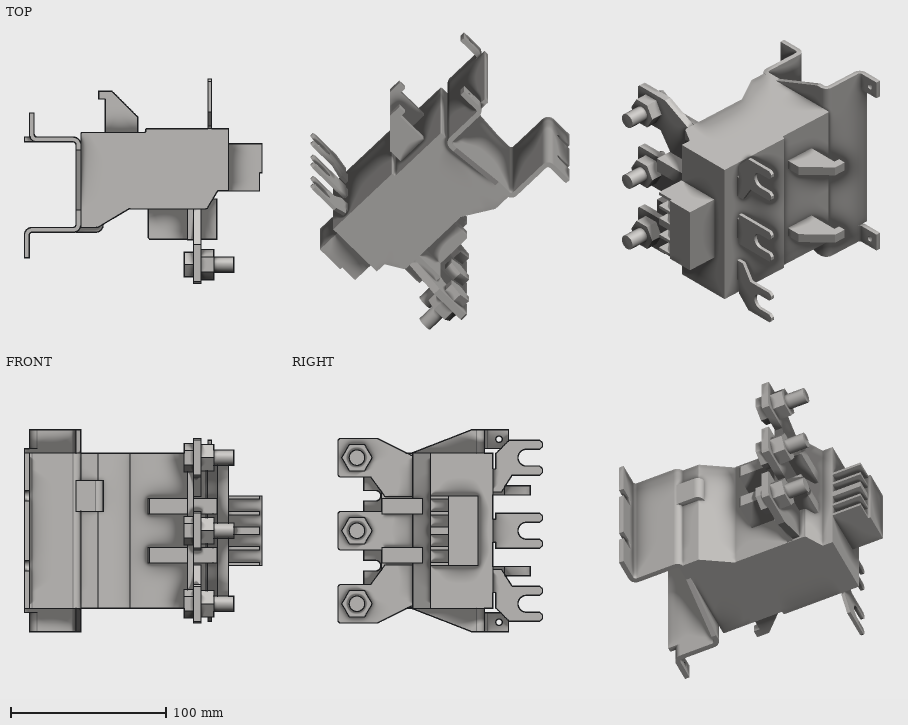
import cadquery as cq
import math


TOTAL_LENGTH = 153.2
TOTAL_DEPTH = 131.8

SHEET = 3.2
BEND_IN = 1.8
BEND_OUT = BEND_IN + SHEET
LEG_LENGTH = 36.5
BACK_LEG_Y = 58.2
FLANGE_END_Y = -19.6
BRACKET_HEIGHT = 130.0
WEB_TAPER_START_Y = 11.3
WEB_TAPER_END_Y = 50.0
FLANGE_SLOT_WIDTH = 6.7
FLANGE_SLOT_DEPTH = 11.0
FLANGE_SLOT_Z = 22.5
EAR_HEIGHT = 12.3
EAR_OFFSET = 3.2
EAR_END_Y = 73.7
EAR_HOLE_DIAMETER = 4.0
TAB_LENGTH = 14.4
TAB_BOTTOM = 12.4
TAB_TOP = 32.5

HOUSING_HEIGHT = 100.0
HOUSING_LENGTH = 95.1
HOUSING_FRONT_Y = 12.3
FRONT_PAD_THICKNESS = 0.5
FRONT_PAD_RIGHT_X = 80.5
HOUSING_BACK_Y = 61.1
HOUSING_RAISED_Y = 63.6
FRONT_SLOPE_START_X = 11.0
FRONT_SLOPE_END_X = 31.5
REAR_SLOPE_START_X = 81.3
REAR_SLOPE_END_X = 88.1
REAR_STEP_Y = 23.6
BACK_STEP_X = 41.7
EDGE_RADIUS = 0.9

LATCH_LEFT_X = 15.6
LATCH_RIGHT_X = 36.6
LATCH_LIP_X = 11.5
LATCH_LIP_HEIGHT = 5.2
LATCH_TIP_X = 19.9
LATCH_TIP_Y = 87.8
LATCH_THICKNESS = 6.1
LATCH_Z = 26.0

SOCKET_END_X = TOTAL_LENGTH - LEG_LENGTH
SOCKET_STEP = 1.7
SOCKET_FRONT_Y = 23.3
SOCKET_BACK_Y = 54.0
SOCKET_STEP_Y = 35.1
SOCKET_HEIGHT = 44.9
SOCKET_RIB = 2.1
SOCKET_INNER_RIB_Z = 11.2
SOCKET_MIDDLE_RIB = 4.9

BARRIER_X = 68.5
BARRIER_THICKNESS = 4.0
BARRIER_INSET = 0.5
BARRIER_FRONT_Y = -8.0
BAR_LEFT_X = 43.2
BAR_RIGHT_X = 87.5
BAR_FRONT_Y = -7.7
BAR_BACK_Y = 18.4
BAR_HEIGHT = 10.0
BAR_Z = 15.8
BAR_CHAMFER = 1.0

POLE_PITCH = 47.0
LUG_X = BARRIER_X + BARRIER_THICKNESS
LUG_THICKNESS = 4.9
LUG_WIDTH = 25.0
LUG_END_Y = -36.2
LUG_CHAMFER = 1.2
LUG_OUTER_BEND_Y = -10.9
LUG_OUTER_ROOT_Z = 48.0
LUG_INNER_BEND_Y = -15.0
LUG_NECK_Y = -5.8
LUG_INNER_ROOT_Z = 21.9

FORK_X = 81.8
FORK_THICKNESS = 2.3
FORK_WIDTH = 22.7
FORK_END_Y = TOTAL_DEPTH + LUG_END_Y
FORK_SHOULDER_GAP = 1.8
FORK_SHOULDER_Y = HOUSING_RAISED_Y + FORK_SHOULDER_GAP
FORK_SHOULDER_DROP = 8.7
FORK_NECK_WIDTH = 15.0
FORK_OUTER_NECK_Z = 32.3
FORK_INNER_NECK_Y = 69.1
FORK_INNER_BEND_Y = 76.0
FORK_SLOT_WIDTH = 10.7
FORK_SLOT_DEPTH = 15.8
FORK_TIP_CHAMFER = 1.8

BOLT_DIAMETER = 10.0
BOLT_FROM_LUG_END = 12.3
BOLT_END_X = 98.5
BOLT_HEAD_HEIGHT = 6.0
BOLT_HEAD_FLATS = 16.0
NUT_HEIGHT = 8.3
NUT_FLATS = 17.0
HEX_CORNERS_PER_FLATS = 2 / math.sqrt(3)

BOLT_Y = LUG_END_Y + BOLT_FROM_LUG_END
POLES = (-1, 0, 1)
HALF_BRACKET = BRACKET_HEIGHT / 2
HALF_HOUSING = HOUSING_HEIGHT / 2
HALF_BARRIER = HALF_HOUSING - BARRIER_INSET


def box(x0, x1, y0, y1, z0, z1):
    """Box between two opposite corners."""
    return cq.Workplane("XY").box(x1 - x0, y1 - y0, z1 - z0, centered=False).translate((x0, y0, z0))


def sheet_corner(x, y, sign_x, sign_y, z0, z1):
    """Quarter-ring bend whose outer corner is at (x, y); signs point to the bend's inner side."""
    center = (x + sign_x * BEND_OUT, y + sign_y * BEND_OUT)
    ring = cq.Workplane("XY").center(*center).circle(BEND_OUT).circle(BEND_IN).extrude(z1 - z0)
    xs = sorted((x, center[0]))
    ys = sorted((y, center[1]))
    return ring.translate((0, 0, z0)).intersect(box(*xs, *ys, z0, z1))


def plate_on_yz(points, x, thickness):
    """Flat plate with a (Y, Z) outline, starting at the given X."""
    return cq.Workplane("YZ").polyline(points).close().extrude(thickness).translate((x, 0, 0))


def round_slot(x, thickness, y_mouth, y_bottom, z, width):
    """Cutter for a slot through a YZ plate, open at its mouth and fully rounded at its bottom."""
    half = width / 2
    y_center = y_bottom + half if y_mouth > y_bottom else y_bottom - half
    ys = sorted((y_mouth, y_center))
    round_end = cq.Workplane("YZ").center(y_center, z).circle(half).extrude(thickness)
    return box(x, x + thickness, *ys, z - half, z + half).union(round_end.translate((x, 0, 0)))


def make_housing_body():
    r = EDGE_RADIUS
    outline = (
        cq.Workplane("XY")
        .moveTo(0, 0)
        .lineTo(FRONT_SLOPE_START_X, 0)
        .lineTo(FRONT_SLOPE_END_X, HOUSING_FRONT_Y)
        .lineTo(REAR_SLOPE_START_X, HOUSING_FRONT_Y)
        .lineTo(REAR_SLOPE_END_X, REAR_STEP_Y)
        .lineTo(HOUSING_LENGTH, REAR_STEP_Y)
        .lineTo(HOUSING_LENGTH, HOUSING_RAISED_Y)
        .lineTo(BACK_STEP_X + r, HOUSING_RAISED_Y)
        .radiusArc((BACK_STEP_X, HOUSING_RAISED_Y - r), -r)
        .lineTo(BACK_STEP_X, HOUSING_BACK_Y + r)
        .radiusArc((BACK_STEP_X - r, HOUSING_BACK_Y), r)
        .lineTo(r, HOUSING_BACK_Y)
        .radiusArc((0, HOUSING_BACK_Y - r), -r)
        .close()
    )
    return outline.extrude(HALF_HOUSING, both=True)


def make_latch(z):
    slope = LATCH_RIGHT_X - LATCH_TIP_X
    points = [
        (LATCH_LEFT_X, HOUSING_BACK_Y),
        (LATCH_RIGHT_X, HOUSING_BACK_Y),
        (LATCH_RIGHT_X, LATCH_TIP_Y - slope),
        (LATCH_TIP_X, LATCH_TIP_Y),
        (LATCH_LIP_X, LATCH_TIP_Y),
        (LATCH_LIP_X, LATCH_TIP_Y - LATCH_LIP_HEIGHT),
        (LATCH_LEFT_X, LATCH_TIP_Y - LATCH_LIP_HEIGHT),
    ]
    latch = cq.Workplane("XY").polyline(points).close().extrude(LATCH_THICKNESS / 2, both=True)
    return latch.translate((0, 0, z))


def make_socket():
    half = SOCKET_HEIGHT / 2
    socket = box(HOUSING_LENGTH, SOCKET_END_X, SOCKET_STEP_Y, SOCKET_BACK_Y, -half, half)
    outer_rib_z = half - SOCKET_RIB / 2
    ribs = [(0, SOCKET_MIDDLE_RIB)]
    for side in (-1, 1):
        ribs.append((side * SOCKET_INNER_RIB_Z, SOCKET_RIB))
        ribs.append((side * outer_rib_z, SOCKET_RIB))
    rib_end = SOCKET_END_X - SOCKET_STEP
    for z, height in ribs:
        rib = box(HOUSING_LENGTH, rib_end, SOCKET_FRONT_Y, SOCKET_STEP_Y, z - height / 2, z + height / 2)
        socket = socket.union(rib)
    return socket


def make_front_pad():
    """Thin raised pad covering the flat front face of the housing."""
    pad_y = HOUSING_FRONT_Y - FRONT_PAD_THICKNESS
    return box(FRONT_SLOPE_END_X, FRONT_PAD_RIGHT_X, pad_y, HOUSING_FRONT_Y, -HALF_HOUSING, HALF_HOUSING)


def make_barrier():
    return box(BARRIER_X, LUG_X, BARRIER_FRONT_Y, HOUSING_FRONT_Y, -HALF_BARRIER, HALF_BARRIER)


def make_bar(z):
    half = BAR_HEIGHT / 2
    bar = box(BAR_LEFT_X, BAR_RIGHT_X, BAR_FRONT_Y, BAR_BACK_Y, z - half, z + half)
    return bar.edges("|Z and <X and <Y").chamfer(BAR_CHAMFER)


def make_lug(pole):
    """Front lug; the outer ones are cranked away from the middle, the lower one mirrors the upper."""
    half = LUG_WIDTH / 2
    z = abs(pole) * POLE_PITCH
    if pole == 0:
        root = [(HOUSING_FRONT_Y, half), (HOUSING_FRONT_Y, -half)]
    else:
        root = [
            (LUG_OUTER_BEND_Y, z + half),
            (HOUSING_FRONT_Y, LUG_OUTER_ROOT_Z),
            (HOUSING_FRONT_Y, LUG_INNER_ROOT_Z),
            (LUG_NECK_Y, LUG_INNER_ROOT_Z),
            (LUG_INNER_BEND_Y, z - half),
        ]
    points = [(LUG_END_Y, z - half), (LUG_END_Y, z + half)] + root
    lug = plate_on_yz(points, LUG_X, LUG_THICKNESS).edges("|X and <Y").chamfer(LUG_CHAMFER)
    return lug.mirror("XY") if pole < 0 else lug


def make_fork(pole):
    """Back fork terminal; the outer ones are cranked like the lugs."""
    half = FORK_WIDTH / 2
    half_neck = FORK_NECK_WIDTH / 2
    z = abs(pole) * POLE_PITCH
    neck_z = abs(pole) * FORK_OUTER_NECK_Z
    neck_root = [
        (FORK_SHOULDER_Y, neck_z + half_neck),
        (HOUSING_RAISED_Y, neck_z + half_neck),
        (HOUSING_RAISED_Y, neck_z - half_neck),
    ]
    if pole == 0:
        outer = [(FORK_SHOULDER_Y, half)]
        inner = [(FORK_SHOULDER_Y, -half_neck), (FORK_SHOULDER_Y, -half)]
    else:
        outer = [
            (FORK_SHOULDER_Y + FORK_SHOULDER_DROP, z + half),
            (FORK_SHOULDER_Y, z + half - FORK_SHOULDER_DROP),
        ]
        inner = [(FORK_INNER_NECK_Y, neck_z - half_neck), (FORK_INNER_BEND_Y, z - half)]
    points = [(FORK_END_Y, z - half), (FORK_END_Y, z + half)] + outer + neck_root + inner
    fork = plate_on_yz(points, FORK_X, FORK_THICKNESS)
    slot_bottom = FORK_END_Y - FORK_SLOT_DEPTH
    fork = fork.cut(round_slot(FORK_X, FORK_THICKNESS, FORK_END_Y, slot_bottom, z, FORK_SLOT_WIDTH))
    fork = fork.edges("|X and >Y").chamfer(FORK_TIP_CHAMFER)
    return fork.mirror("XY") if pole < 0 else fork


def x_cylinder(x0, x1, z):
    """Cylinder of the bolt's diameter on a bolt axis."""
    circle = cq.Workplane("YZ").center(BOLT_Y, z).circle(BOLT_DIAMETER / 2)
    return circle.extrude(x1 - x0).translate((x0, 0, 0))


def make_housing():
    housing = make_housing_body().union(make_front_pad()).union(make_socket()).union(make_barrier())
    for side in (-1, 1):
        housing = housing.union(make_latch(side * LATCH_Z)).union(make_bar(side * BAR_Z))
    for pole in POLES:
        bolt_hole = x_cylinder(LUG_X, LUG_X + LUG_THICKNESS, pole * POLE_PITCH)
        housing = housing.union(make_lug(pole).cut(bolt_hole)).union(make_fork(pole))
    return housing


def hexagon(x0, height, flats, turn, z):
    """Hexagonal prism on a bolt axis; a turn of 0 puts corners on the Y axis, 90 on the Z axis."""
    prism = cq.Workplane("YZ").polygon(6, flats * HEX_CORNERS_PER_FLATS).extrude(height)
    return prism.rotate((0, 0, 0), (1, 0, 0), turn).translate((x0, BOLT_Y, z))


def make_bolt(z):
    head = hexagon(LUG_X - BOLT_HEAD_HEIGHT, BOLT_HEAD_HEIGHT, BOLT_HEAD_FLATS, 90, z)
    return head.union(x_cylinder(LUG_X, BOLT_END_X, z))


def make_nut(z):
    start = LUG_X + LUG_THICKNESS
    return hexagon(start, NUT_HEIGHT, NUT_FLATS, 0, z).cut(x_cylinder(start, start + NUT_HEIGHT, z))


def make_web_and_legs():
    """Channel of web and two legs, its web tapering from full height to the housing's height."""
    front = -SHEET
    low, high = -HALF_BRACKET, HALF_BRACKET
    web = box(-SHEET, 0, front + BEND_OUT, BACK_LEG_Y - BEND_OUT, low, high)
    back_leg = box(EAR_OFFSET - LEG_LENGTH + BEND_OUT, -BEND_OUT, BACK_LEG_Y - SHEET, BACK_LEG_Y, low, high)
    front_leg = box(BEND_OUT - LEG_LENGTH, -BEND_OUT, front, 0, low, high)
    flange = box(-LEG_LENGTH, SHEET - LEG_LENGTH, FLANGE_END_Y, -BEND_OUT, low, high)
    channel = web.union(back_leg).union(front_leg).union(flange)
    channel = channel.union(sheet_corner(0, front, -1, 1, low, high))
    channel = channel.union(sheet_corner(0, BACK_LEG_Y, -1, -1, low, high))
    channel = channel.union(sheet_corner(-LEG_LENGTH, 0, 1, -1, low, high))
    envelope = [
        (BACK_LEG_Y, high),
        (WEB_TAPER_END_Y, high),
        (WEB_TAPER_START_Y, HALF_HOUSING),
        (FLANGE_END_Y, HALF_HOUSING),
        (FLANGE_END_Y, -HALF_HOUSING),
        (WEB_TAPER_START_Y, -HALF_HOUSING),
        (WEB_TAPER_END_Y, low),
        (BACK_LEG_Y, low),
    ]
    return channel.intersect(plate_on_yz(envelope, -LEG_LENGTH, LEG_LENGTH))


def make_ear():
    """Upper ear: bent back from the back leg, with a centred mounting hole near its end."""
    low, high = HALF_BRACKET - EAR_HEIGHT, HALF_BRACKET
    x = EAR_OFFSET - LEG_LENGTH
    y = BACK_LEG_Y - SHEET
    ear = box(x, x + SHEET, y + BEND_OUT, EAR_END_Y, low, high).union(sheet_corner(x, y, 1, 1, low, high))
    hole = cq.Workplane("YZ").center(EAR_END_Y - EAR_HEIGHT / 2, high - EAR_HEIGHT / 2)
    return ear.cut(hole.circle(EAR_HOLE_DIAMETER / 2).extrude(SHEET).translate((x, 0, 0)))


def make_tab():
    """Tab in line with the front leg that hooks round the housing's front slope."""
    flat = box(-SHEET, TAB_LENGTH - BEND_OUT, -SHEET, 0, TAB_BOTTOM, TAB_TOP)
    return flat.union(sheet_corner(TAB_LENGTH, -SHEET, -1, 1, TAB_BOTTOM, TAB_TOP))


def make_bracket():
    bracket = make_web_and_legs()
    lip_half = HALF_BRACKET - EAR_HEIGHT
    lip_start = EAR_OFFSET - LEG_LENGTH + BEND_OUT
    back_lip = box(-LEG_LENGTH, lip_start, BACK_LEG_Y - SHEET, BACK_LEG_Y, -lip_half, lip_half)
    ear = make_ear()
    bracket = bracket.union(back_lip).union(ear).union(ear.mirror("XY")).union(make_tab())
    slot_bottom = FLANGE_END_Y + FLANGE_SLOT_DEPTH
    for side in (-1, 1):
        z = side * FLANGE_SLOT_Z
        bracket = bracket.cut(round_slot(-LEG_LENGTH, SHEET, FLANGE_END_Y, slot_bottom, z, FLANGE_SLOT_WIDTH))
    return bracket


bracket = make_bracket()
housing = make_housing().cut(bracket)
bolts = [make_bolt(pole * POLE_PITCH) for pole in POLES]
nuts = [make_nut(pole * POLE_PITCH) for pole in POLES]

bodies = [bracket, housing, *bolts, *nuts]
result = cq.Compound.makeCompound([solid for body in bodies for solid in body.solids().vals()])